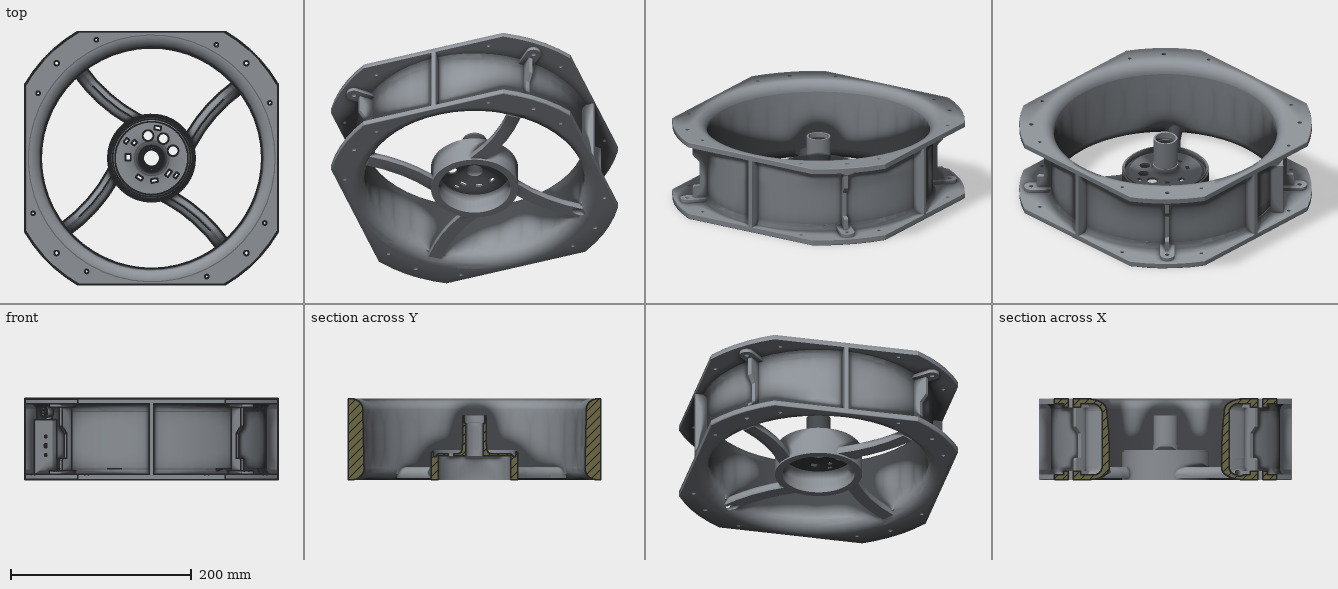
import cadquery as cq
import math


height = 90.0
flange_width = 280.0
flange_corner_radius = 162.0
flange_thickness = 6.0
flange_edge_round = 0.8
mount_hole_diameter = 5.0
mount_hole_offset = 105.0
guard_hole_diameter = 4.0
guard_hole_radius = 144.5
guard_hole_angles = (25.0, 60.2)

throat_radius = 122.0
throat_inlet_radius = 123.5
throat_inlet_z = 79.0
lip_radius = 136.5
outer_radius = 126.7
inlet_back_radius = 9.5
inlet_back_z = 76.0
outlet_flare = 12.5
outlet_back_radius = 8.0
band_depth = 0.7
band_top = 24.0
band_angle = 45.0

rib_thickness = 4.5
corner_rib_reach = 142.0
corner_rib_waist = 134.5
waist_bottom = 24.0
waist_top = 51.0
waist_slope_top = 59.0
rib_foot_round = 2.5
pad_width = 16.0
pad_thickness = 4.0

hub_radius = 48.3
hub_inner_radius = 40.0
shoulder_top = 31.0
rim_top = 33.0
rim_outer_radius = 46.5
rim_inner_radius = 45.2
plate_radius = 40.3
groove_radius = 43.0
groove_floor = 26.0
plate_top = 29.0
plate_thickness = 2.5
tube_radius = 13.2
tube_bore_radius = 9.2
tube_top = 71.0
bearing_radius = 11.3
bearing_depth = 8.0
collar_radius = 14.0
collar_top = 38.5
foot_fillet = 5.2
wire_hole_diameter = 11.6
wire_hole_radius = 25.2
wire_hole_angles = (18.8, 58.8, 98.8)
plate_slots = (
    (6.9, 33.3, 7.0, 4.0, -10.0),
    (-27.7, 19.0, 5.5, 3.5, 52.0),
    (-19.0, 17.0, 5.0, 4.2, 50.0),
    (-25.9, 1.0, 5.5, 6.8, 0.0),
    (-13.2, -21.4, 7.0, 4.0, -34.0),
    (3.2, -24.8, 7.2, 3.8, 10.0),
    (18.8, -16.7, 7.5, 3.8, 52.0),
    (27.3, -19.0, 6.0, 3.5, 52.0),
)

spoke_base = 2.0
spoke_width = 15.0
spoke_height = 12.0
spoke_ridge_width = 1.5
spoke_bulge = 2.1
spoke_seat_width = 22.0
spoke_seat_bottom = 6.5
spoke_path = ((-12.5, 39.4), (-48.7, 63.2), (-79.5, 97.0))

box_direction = 225.0
box_face_distance = 129.6
box_depth = 14.0
box_width = 30.0
box_offset = -39.0
box_top = 66.7
box_edge_round = 0.8
box_hole_offset = -36.2
box_hole_depth = 3.0
box_holes = ((27.4, 2.6), (37.7, 4.0), (48.0, 2.6))
gland_diameter = 11.5
gland_bore = 4.5
gland_bore_depth = 6.0
gland_chamfer = 1.0
gland_height = 75.2
gland_end_distance = 133.5
gland_root_distance = 121.0
gland_neck_diameter = 7.0
gland_neck_distance = 124.0
cable_hole_diameter = 9.6
cable_hole_length = 50.0
cable_hole_mouth = (-100.4, -80.8, 6.5)
cable_hole_direction = (1.0, 1.0, -1.0)

quarter_turns = (0.0, 90.0, 180.0, 270.0)
corner_turns = (45.0, 135.0, 225.0, 315.0)
pad_centre = mount_hole_offset * math.sqrt(2)
inner_floor = flange_thickness
inner_ceiling = height - flange_thickness


def turned(shape, angle):
    return shape.rotate((0, 0, 0), (0, 0, 1), angle)


def cylinder(radius, bottom, top):
    return cq.Workplane("XY").workplane(offset=bottom).circle(radius).extrude(top - bottom)


def block(x_start, x_end, width, bottom, top):
    """Box running out along +X, centred on Y = 0."""
    size_x = x_end - x_start
    slab = cq.Workplane("XY").box(size_x, width, top - bottom, centered=(False, True, False))
    return slab.translate((x_start, 0, bottom))


def arc_point(centre, radius, angle):
    turn = math.radians(angle)
    return (centre[0] + radius * math.cos(turn), centre[1] + radius * math.sin(turn))


def revolved(profile):
    return profile.revolve(360, (0, 0, 0), (0, 1, 0))


def ring_outside():
    """Solid inside the outer surface of the ring, flared toward both flanges."""
    outlet_centre = (outer_radius + outlet_back_radius, outlet_flare)
    inlet_centre = (outer_radius + inlet_back_radius, inlet_back_z)
    bottom = outlet_flare - outlet_back_radius
    top = inlet_back_z + inlet_back_radius
    return revolved(
        cq.Workplane("XZ")
        .moveTo(0, bottom)
        .lineTo(outlet_centre[0], bottom)
        .threePointArc(arc_point(outlet_centre, outlet_back_radius, 225), (outer_radius, outlet_flare))
        .lineTo(outer_radius, inlet_back_z)
        .threePointArc(arc_point(inlet_centre, inlet_back_radius, 135), (inlet_centre[0], top))
        .lineTo(0, top)
        .close()
    )


def air_passage():
    """Flow passage: inlet flare, slightly tapered throat and outlet flare."""
    flare_width = lip_radius - throat_inlet_radius
    flare_depth = height - throat_inlet_z
    inlet_radius = (flare_width**2 + flare_depth**2) / (2 * flare_depth)
    inlet_centre = (lip_radius, height - inlet_radius)
    inlet_sweep = math.degrees(math.asin(flare_width / inlet_radius))
    outlet_centre = (throat_radius + outlet_flare, outlet_flare)
    return revolved(
        cq.Workplane("XZ")
        .lineTo(outlet_centre[0], 0)
        .threePointArc(arc_point(outlet_centre, outlet_flare, 225), (throat_radius, outlet_flare))
        .lineTo(throat_inlet_radius, throat_inlet_z)
        .threePointArc(
            arc_point(inlet_centre, inlet_radius, 90 + inlet_sweep / 2), (lip_radius, height)
        )
        .lineTo(0, height)
        .close()
    )


def recessed_band():
    ring = (
        cq.Workplane("XZ")
        .moveTo(outer_radius - band_depth, outlet_flare)
        .lineTo(lip_radius, outlet_flare)
        .lineTo(lip_radius, band_top)
        .lineTo(outer_radius - band_depth, band_top)
        .close()
        .revolve(band_angle, (0, 0, 0), (0, 1, 0))
    )
    return turned(ring, 180)


def flange(bottom, rounded_face):
    plate = cq.Workplane("XY").box(
        flange_width, flange_width, flange_thickness, centered=(True, True, False)
    )
    plate = plate.intersect(cylinder(flange_corner_radius, 0, flange_thickness))
    plate = plate.faces(rounded_face).edges().fillet(flange_edge_round)
    return plate.translate((0, 0, bottom))


def corner_rib():
    profile = (
        cq.Workplane("XZ")
        .moveTo(throat_radius, inner_floor)
        .lineTo(corner_rib_reach, inner_floor)
        .lineTo(corner_rib_reach, waist_bottom - rib_foot_round)
        .tangentArcPoint((-rib_foot_round, rib_foot_round))
        .lineTo(corner_rib_waist, waist_bottom)
        .lineTo(corner_rib_waist, waist_top)
        .lineTo(corner_rib_reach, waist_slope_top)
        .lineTo(corner_rib_reach, inner_ceiling)
        .lineTo(throat_radius, inner_ceiling)
        .close()
    )
    return profile.extrude(rib_thickness / 2, both=True)


def mounting_pad(bottom):
    top = bottom + pad_thickness
    arm = block(throat_radius, pad_centre, pad_width, bottom, top)
    tip = cylinder(pad_width / 2, bottom, top).translate((pad_centre, 0, 0))
    return arm.union(tip)


def terminal_box():
    box = block(box_face_distance - box_depth, box_face_distance, box_width, inner_floor, box_top)
    box = box.edges("|Z and >X").fillet(box_edge_round)
    return turned(box.translate((0, box_offset, 0)), box_direction)


def radial_cylinder(radius, start, end, side_offset, z):
    rod = cq.Workplane("YZ").workplane(offset=start).center(side_offset, z)
    return rod.circle(radius).extrude(end - start)


def cable_gland():
    gland = radial_cylinder(
        gland_diameter / 2, gland_root_distance, gland_end_distance, box_hole_offset, gland_height
    )
    gland = gland.faces(">X").chamfer(gland_chamfer)
    neck = cylinder(gland_neck_diameter / 2, box_top, gland_height)
    neck = neck.translate((gland_neck_distance, box_hole_offset, 0))
    bore_start = gland_end_distance - gland_bore_depth
    bore = radial_cylinder(
        gland_bore / 2, bore_start, gland_end_distance, box_hole_offset, gland_height
    )
    return turned(gland.union(neck).cut(bore), box_direction)


def box_face_holes():
    holes = cq.Workplane("XY")
    for z, diameter in box_holes:
        start = box_face_distance - box_hole_depth
        holes = holes.union(
            radial_cylinder(diameter / 2, start, box_face_distance, box_hole_offset, z)
        )
    return turned(holes, box_direction)


def flange_holes():
    holes = cq.Workplane("XY")
    mount_hole = cylinder(mount_hole_diameter / 2, 0, height).translate((pad_centre, 0, 0))
    guard_hole = cylinder(guard_hole_diameter / 2, 0, height).translate((guard_hole_radius, 0, 0))
    for turn in corner_turns:
        holes = holes.union(turned(mount_hole, turn))
    for turn in quarter_turns:
        for angle in guard_hole_angles:
            holes = holes.union(turned(guard_hole, turn + angle))
    return holes


def cable_hole():
    plane = cq.Plane(origin=cable_hole_mouth, normal=cable_hole_direction)
    hole = cq.Workplane(plane).circle(cable_hole_diameter / 2)
    return hole.extrude(cable_hole_length / 2, both=True)


def housing():
    body = ring_outside().cut(recessed_band())
    body = body.union(flange(0, "<Z")).union(flange(height - flange_thickness, ">Z"))
    side_rib = block(throat_radius, flange_width / 2, rib_thickness, inner_floor, inner_ceiling)
    for turn in quarter_turns:
        body = body.union(turned(side_rib, turn))
    for turn in corner_turns:
        body = body.union(turned(corner_rib(), turn))
        body = body.union(turned(mounting_pad(inner_floor), turn))
        body = body.union(turned(mounting_pad(inner_ceiling - pad_thickness), turn))
    body = body.union(terminal_box())
    body = body.cut(box_face_holes()).union(cable_gland())
    body = body.cut(air_passage())
    return body.cut(flange_holes())


def spoke():
    """One spoke: an arched section swept along a curved centreline just above the base."""
    start, middle, end = spoke_path
    path = cq.Workplane("XY").moveTo(*start).threePointArc(middle, end)
    tangent = path.val().tangentAt(0)
    across = cq.Vector(-tangent.y, tangent.x, 0)
    section_plane = cq.Plane(origin=(start[0], start[1], 0), xDir=across, normal=tangent)
    up = section_plane.yDir.z
    half_width = spoke_width / 2
    half_ridge = spoke_ridge_width / 2
    flank_x = (half_width + half_ridge) / 2 + spoke_bulge
    flank_z = up * (spoke_height / 2 + spoke_bulge)
    section = (
        cq.Workplane(section_plane)
        .moveTo(-half_width, 0)
        .threePointArc((-flank_x, flank_z), (-half_ridge, up * spoke_height))
        .lineTo(half_ridge, up * spoke_height)
        .threePointArc((flank_x, flank_z), (half_width, 0))
        .close()
    )
    return section.sweep(path).translate((0, 0, spoke_base))


def spoke_seat():
    """Block filling the outlet flare where the spoke meets the ring."""
    end_x, end_y = spoke_path[-1]
    seat = block(0, outer_radius, spoke_seat_width, spoke_seat_bottom, outlet_flare)
    seat = turned(seat, math.degrees(math.atan2(end_y, end_x)))
    return seat.cut(cylinder(throat_radius, 0, height))


def hub():
    plate_bottom = plate_top - plate_thickness
    return revolved(
        cq.Workplane("XZ")
        .moveTo(0, plate_top)
        .lineTo(plate_radius, plate_top)
        .lineTo(groove_radius, groove_floor)
        .lineTo(rim_inner_radius, groove_floor)
        .lineTo(rim_inner_radius, rim_top)
        .lineTo(rim_outer_radius, rim_top)
        .lineTo(rim_outer_radius, shoulder_top)
        .lineTo(hub_radius, shoulder_top)
        .lineTo(hub_radius, 0)
        .lineTo(hub_inner_radius, 0)
        .lineTo(hub_inner_radius, plate_bottom)
        .lineTo(0, plate_bottom)
        .close()
    )


def hub_tube():
    plate_bottom = plate_top - plate_thickness
    foot_top = plate_top + foot_fillet
    foot_radius = collar_radius + foot_fillet
    return revolved(
        cq.Workplane("XZ")
        .moveTo(0, plate_bottom)
        .lineTo(foot_radius, plate_bottom)
        .lineTo(foot_radius, plate_top)
        .threePointArc(arc_point((foot_radius, foot_top), foot_fillet, 225), (collar_radius, foot_top))
        .lineTo(collar_radius, collar_top)
        .lineTo(tube_radius, collar_top)
        .lineTo(tube_radius, tube_top)
        .lineTo(0, tube_top)
        .close()
    )


def hub_openings():
    cuts = cylinder(tube_bore_radius, 0, tube_top)
    cuts = cuts.union(cylinder(bearing_radius, tube_top - bearing_depth, tube_top))
    wire_hole = cylinder(wire_hole_diameter / 2, 0, plate_top).translate((wire_hole_radius, 0, 0))
    for angle in wire_hole_angles:
        cuts = cuts.union(turned(wire_hole, angle))
    for x, y, length, width, angle in plate_slots:
        slot = block(-length / 2, length / 2, width, 0, plate_top)
        cuts = cuts.union(turned(slot, angle).translate((x, y, 0)))
    return cuts


def motor_mount():
    hub_cavity = cylinder(hub_inner_radius, 0, plate_top - plate_thickness)
    arm = spoke().cut(hub_cavity).union(spoke_seat())
    body = hub().union(hub_tube())
    for turn in quarter_turns:
        body = body.union(turned(arm, turn))
    return body.cut(hub_openings())


result = housing().union(motor_mount()).cut(cable_hole())